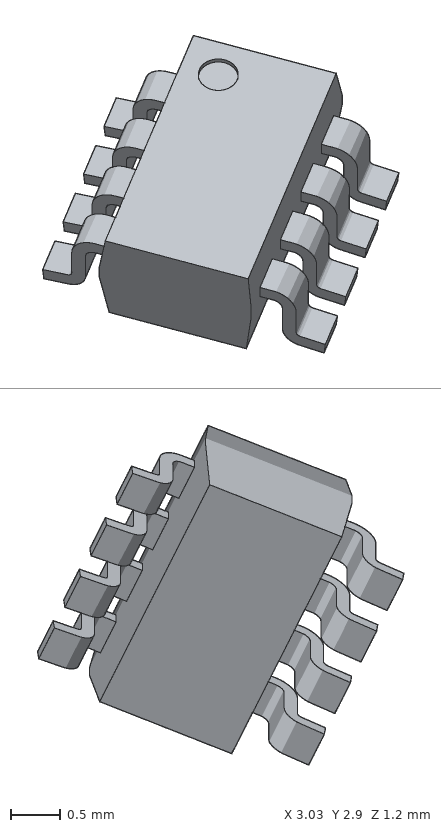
import cadquery as cq
import math

body_width = 1.63
body_length = 2.9
body_height = 1.2
band_bottom = 0.65
band_top = 0.8
draft_angle = 7.0

mark_diameter = 0.405
mark_x = -0.365
mark_y = 1.0
mark_depth = 0.048

lead_span = 3.03
leads_per_side = 4
lead_row_length = 1.95
lead_width = 0.39
lead_thickness = band_top - band_bottom
shank_outer_x = 1.203
shoulder_inner_radius = 0.1
ankle_inner_radius = 0.05
foot_angle = 5.0

shoulder_outer_radius = shoulder_inner_radius + lead_thickness
ankle_outer_radius = ankle_inner_radius + lead_thickness
shank_inner_x = shank_outer_x - lead_thickness
lead_pitch = lead_row_length / (leads_per_side - 1)


def make_housing():
    """Band with a tapered block above and below, and the mark cut in the top."""
    def tapered_block(start_z, height):
        return (
            cq.Workplane("XY", origin=(0, 0, start_z))
            .rect(body_width, body_length)
            .extrude(height, taper=draft_angle)
        )

    band = (
        cq.Workplane("XY", origin=(0, 0, band_bottom))
        .rect(body_width, body_length)
        .extrude(lead_thickness)
    )
    upper = tapered_block(band_top, body_height - band_top)
    lower = tapered_block(band_bottom, -band_bottom)
    mark = (
        cq.Workplane("XY", origin=(mark_x, mark_y, body_height))
        .circle(mark_diameter / 2)
        .extrude(-mark_depth)
    )
    return band.union(upper).union(lower).cut(mark)


def make_lead(side, y_center):
    """Bent lead touching the band; side is +1 for the +X row and -1 for the -X row."""
    def on_side(x, z):
        return (side * x, z)

    def on_arc(center, radius, degrees):
        angle = math.radians(degrees)
        return on_side(center[0] + radius * math.cos(angle), center[1] + radius * math.sin(angle))

    slope = math.radians(foot_angle)
    toe_x = lead_span / 2
    toe_top_z = lead_thickness * math.cos(slope)
    toe_bottom_x = toe_x - lead_thickness * math.sin(slope)

    shoulder = (shank_outer_x - shoulder_outer_radius, band_top - shoulder_outer_radius)
    ankle_x = shank_outer_x + ankle_inner_radius
    ankle_z = toe_top_z + (toe_x - ankle_x) * math.tan(slope) + ankle_inner_radius / math.cos(slope)
    ankle = (ankle_x, ankle_z)

    ankle_start = 180
    ankle_end = 270 - foot_angle
    ankle_middle = (ankle_start + ankle_end) / 2

    profile = (
        cq.Workplane("XZ", origin=(0, y_center, 0))
        .moveTo(*on_side(body_width / 2, band_top))
        .lineTo(*on_side(shoulder[0], band_top))
        .threePointArc(on_arc(shoulder, shoulder_outer_radius, 45), on_side(shank_outer_x, shoulder[1]))
        .lineTo(*on_side(shank_outer_x, ankle_z))
        .threePointArc(
            on_arc(ankle, ankle_inner_radius, ankle_middle),
            on_arc(ankle, ankle_inner_radius, ankle_end),
        )
        .lineTo(*on_side(toe_x, toe_top_z))
        .lineTo(*on_side(toe_bottom_x, 0))
        .lineTo(*on_arc(ankle, ankle_outer_radius, ankle_end))
        .threePointArc(
            on_arc(ankle, ankle_outer_radius, ankle_middle),
            on_side(shank_inner_x, ankle_z),
        )
        .lineTo(*on_side(shank_inner_x, shoulder[1]))
        .threePointArc(on_arc(shoulder, shoulder_inner_radius, 45), on_side(shoulder[0], band_bottom))
        .lineTo(*on_side(body_width / 2, band_bottom))
        .close()
    )
    return profile.extrude(lead_width / 2, both=True)


housing = make_housing()

leads = []
for side in (-1, 1):
    for index in range(leads_per_side):
        lead_y = index * lead_pitch - lead_row_length / 2
        leads.append(make_lead(side, lead_y))

result = cq.Compound.makeCompound([housing.val(), *[lead.val() for lead in leads]])